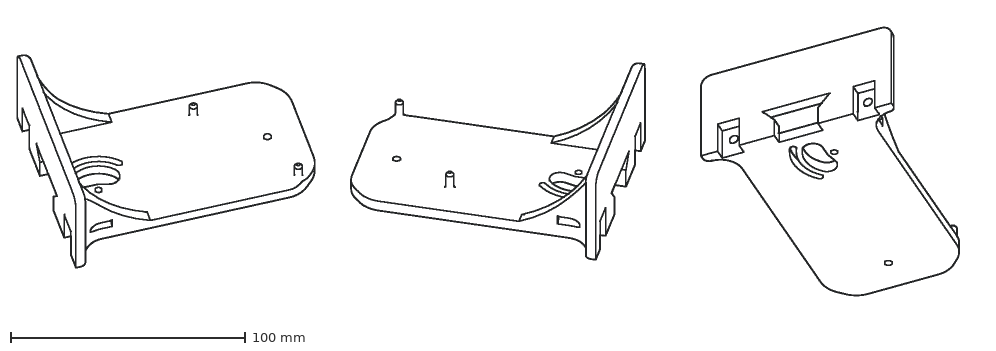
import cadquery as cq
import math

length = 114.1
thickness = 5.0
plate_width = 63.4
corner_chamfer = 10.2
corner_blend = 12.8

wall_width = 88.9
wall_height = 43.1
wall_corner_radius = 5.0
wall_edge_round = 3.0

rib_curve_radius = 61.2
flare_radius = 10.0

notch_height = 15.0
window_top_width = 31.4
window_width = 20.3
window_slant_start = 8.8
side_notch_width = 10.0
side_notch_center = 31.6
screw_hole_x = 31.3
screw_hole_z = 8.6
screw_hole_diameter = 4.0
screw_hole_depth = 20.0

rear_hole_y = 98.4
rear_hole_diameter = 3.3
pivot_x = 8.8
pivot_y = 20.5
pivot_diameter = 3.0
slot_start_angle = 134.0
slot_end_angle = 211.0
guide_slot_radius = 17.7
guide_slot_width = 2.9
wide_slot_radius = 9.1
wide_slot_width = 9.1
wide_slot_relief_y = 21.8

peg_places = [(-17.9, 70.6), (27.7, 104.0)]
peg_radius = 1.7
peg_tip_radius = 0.7
peg_flare_radius = 3.9
peg_shoulder_height = 9.1
peg_height = 10.4


def plate_prism(height):
    """Plate outline with its rounded rear corners, raised to a height."""
    prism = cq.Workplane("XY").box(plate_width, length, height, centered=(True, False, False))
    prism = prism.edges("|Z and >Y").chamfer(corner_chamfer)
    rear_half = cq.selectors.BoxSelector((-length, length / 2, 0), (length, 2 * length, height))
    return prism.edges("|Z").edges(rear_half).fillet(corner_blend)


def wall():
    body = cq.Workplane("XY").box(wall_width, thickness, wall_height, centered=(True, False, False))
    body = body.edges("|Y and >Z").fillet(wall_corner_radius)
    return body.faces(">Y").edges("not <Z").fillet(wall_edge_round)


def rib(side):
    """Rib seen from above as a flared strip, trimmed by the hollow side curve."""
    outer = plate_width / 2
    inner = outer - thickness
    rib_end = rib_curve_radius - math.sqrt(
        rib_curve_radius**2 - (rib_curve_radius - thickness) ** 2
    )
    flare_x = outer + flare_radius
    flare_y = thickness + flare_radius
    flare_mid = flare_radius * math.sqrt(0.5)
    strip = (
        cq.Workplane("XY")
        .moveTo(side * inner, thickness)
        .lineTo(side * inner, rib_end)
        .lineTo(side * outer, rib_end)
        .lineTo(side * outer, flare_y)
        .threePointArc(
            (side * (flare_x - flare_mid), flare_y - flare_mid),
            (side * flare_x, thickness),
        )
        .close()
        .extrude(rib_end)
    )
    hollow = (
        cq.Workplane("YZ")
        .center(rib_curve_radius, rib_curve_radius)
        .circle(rib_curve_radius)
        .extrude(wall_width, both=True)
    )
    foot = cq.Workplane("XY").box(2 * wall_width, length, thickness, centered=(True, False, False))
    return strip.cut(hollow.cut(foot))


def peg(x, y):
    """Peg with a trumpet-shaped foot and a tapered tip."""
    foot_radius = peg_radius + peg_flare_radius
    flare_mid = peg_flare_radius * (1 - math.sqrt(0.5))
    profile = (
        cq.Workplane("XZ")
        .lineTo(foot_radius, 0)
        .threePointArc((peg_radius + flare_mid, flare_mid), (peg_radius, peg_flare_radius))
        .lineTo(peg_radius, peg_shoulder_height)
        .lineTo(peg_tip_radius, peg_height)
        .lineTo(0, peg_height)
        .close()
    )
    return profile.revolve(360, (0, 0, 0), (0, 1, 0)).translate((x, y, thickness))


def window():
    half_top = window_top_width / 2
    half_width = window_width / 2
    outline = [
        (-half_width, 0),
        (half_width, 0),
        (half_width, window_slant_start),
        (half_top, notch_height),
        (-half_top, notch_height),
        (-half_width, window_slant_start),
    ]
    return cq.Workplane("XZ").polyline(outline).close().extrude(-thickness)


def screw_notch(side):
    """Notch through the wall with a blind screw hole behind it."""
    notch = (
        cq.Workplane("XY")
        .box(side_notch_width, thickness, notch_height, centered=(True, False, False))
        .translate((side * side_notch_center, 0, 0))
    )
    hole = (
        cq.Workplane("XZ")
        .center(side * screw_hole_x, screw_hole_z)
        .circle(screw_hole_diameter / 2)
        .extrude(-screw_hole_depth)
    )
    return notch.union(hole)


def round_hole(x, y, diameter):
    return cq.Workplane("XY").center(x, y).circle(diameter / 2).extrude(thickness)


def around_pivot(radius, angle):
    turn = math.radians(angle)
    return (pivot_x + radius * math.cos(turn), pivot_y + radius * math.sin(turn))


def pivot_slot(radius, width):
    """Round-ended slot curved about the pivot hole."""
    middle = (slot_start_angle + slot_end_angle) / 2
    outer = radius + width / 2
    inner = radius - width / 2
    slot = (
        cq.Workplane("XY")
        .moveTo(*around_pivot(outer, slot_start_angle))
        .threePointArc(around_pivot(outer, middle), around_pivot(outer, slot_end_angle))
        .lineTo(*around_pivot(inner, slot_end_angle))
        .threePointArc(around_pivot(inner, middle), around_pivot(inner, slot_start_angle))
        .close()
        .extrude(thickness)
    )
    for angle in (slot_start_angle, slot_end_angle):
        slot = slot.union(round_hole(*around_pivot(radius, angle), width))
    return slot


def straight_slot(start, end, width):
    """Round-ended straight slot between two end centers."""
    run_x = end[0] - start[0]
    run_y = end[1] - start[1]
    return (
        cq.Workplane("XY")
        .center((start[0] + end[0]) / 2, (start[1] + end[1]) / 2)
        .slot2D(math.hypot(run_x, run_y) + width, width, math.degrees(math.atan2(run_y, run_x)))
        .extrude(thickness)
    )


def wide_slot():
    """Curved slot whose inner side is opened out by two straight slots."""
    slot_start = around_pivot(wide_slot_radius, slot_start_angle)
    slot_end = around_pivot(wide_slot_radius, slot_end_angle)
    relief = (slot_end[0], wide_slot_relief_y)
    slot = pivot_slot(wide_slot_radius, wide_slot_width)
    for end in (slot_start, slot_end):
        slot = slot.union(straight_slot(relief, end, wide_slot_width))
    return slot


outline_limit = plate_prism(wall_height)
result = plate_prism(thickness).union(wall())
for x, y in peg_places:
    result = result.union(peg(x, y).intersect(outline_limit))
for side in (-1, 1):
    result = result.union(rib(side))

result = result.cut(window())
for side in (-1, 1):
    result = result.cut(screw_notch(side))
result = result.cut(round_hole(0, rear_hole_y, rear_hole_diameter))
result = result.cut(round_hole(pivot_x, pivot_y, pivot_diameter))
result = result.cut(pivot_slot(guide_slot_radius, guide_slot_width))
result = result.cut(wide_slot())